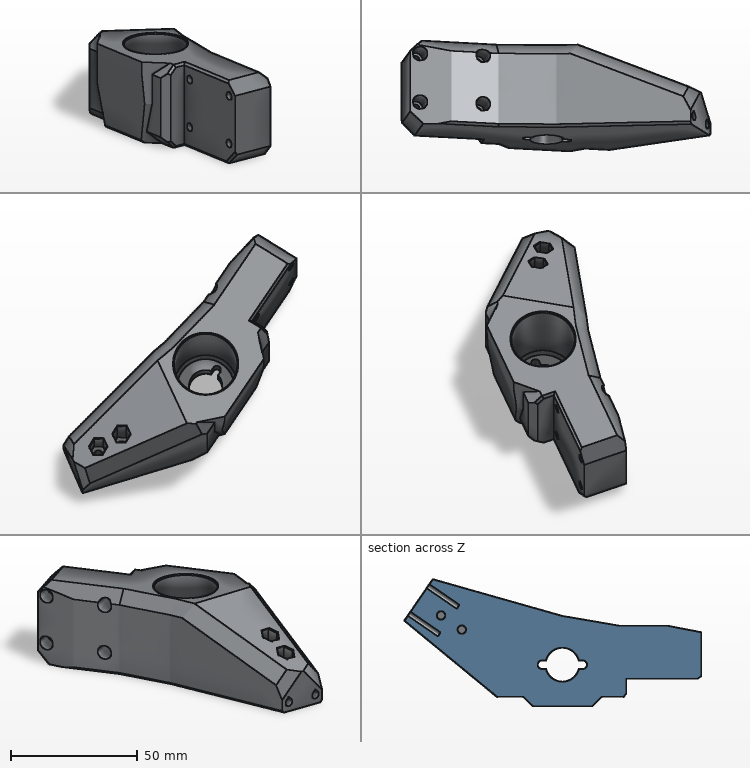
import cadquery as cq
import math

height = 35.0
bevel = 5.0
edge_break = 1.0
cutter_size = 361.1

arm_tip = (-62.7, 17.5)
arm_heel = (-51.4, 34.0)
arm_foot = (-22.7, -15.4)
back_bend = (0.0, 19.4)
plate_bend = (22.5, 15.5)
body_front = arm_foot[1]
step_x = 25.4
corner_cut = 2.9
plate_front = -5.7
plate_back = plate_bend[1]
plate_end = 57.7
taper_start = 41.6
taper_depth = 3.1

ridge_front = (-24.8, -7.2)
ridge_back = (-9.1, 16.9)
slope_angle = math.radians(23.5)
facet_setback = 3.1

boss_front = -18.3
boss_half_width = 14.2
boss_side_drop = 4.8
boss_front_lean = 1.9

bore_diameter = 25.0
bore_chamfer = 0.5
seat_diameter = 22.5
seat_height = 5.0
window_diameter = 13.4
key_slot_length = 19.5
screw_diameter = 3.2

counterbore_diameter = 5.7
plate_screw_x = (28.8, 53.8)
plate_screw_z = (8.9, 28.9)
counterbore_floor = 3.6

end_hole_spacing = 13.2
end_hole_height = 3.9
end_hole_depth = 14.5
nut_distances = (10.8, 20.8)
nut_corner_diameter = 7.1
nut_mouth_diameter = 8.0
nut_mouth_depth = 0.42
nut_floor = 10.0
nut_screw_floor = 1.2

UP = cq.Vector(0, 0, 1)
DOWN = cq.Vector(0, 0, -1)
FRONT = cq.Vector(0, -1, 0)
BACK = cq.Vector(0, 1, 0)
RIGHT = cq.Vector(1, 0, 0)


def prism(points):
    return cq.Workplane("XY").polyline(points).close().extrude(height)


def on_line(start, end, x):
    """Y of the line from start to end at the given x."""
    return start[1] + (end[1] - start[1]) * (x - start[0]) / (end[0] - start[0])


def outward(start, end):
    """Horizontal normal to the left of the line from start to end."""
    return cq.Vector(start[1] - end[1], end[0] - start[0], 0).normalized()


def trim(body, point, normal):
    """Remove everything on the normal's side of a plane."""
    cutter = cq.Workplane(cq.Plane(origin=point, normal=normal)).rect(cutter_size, cutter_size)
    return body.cut(cutter.extrude(cutter_size))


def bevel_plane(edge_point, normal_a, normal_b, setback):
    """Plane of a symmetric bevel on the edge where two faces meet."""
    along_a = (normal_a * normal_a.dot(normal_b) - normal_b).normalized()
    return edge_point + along_a * setback, (normal_a + normal_b).normalized()


def plane_height(plane, x, y):
    point, normal = plane
    return point.z - (normal.x * (x - point.x) + normal.y * (y - point.y)) / normal.z


def bevel_edge(body, x, y, z, normal_a, normal_b, setback):
    return trim(body, *bevel_plane(cq.Vector(x, y, z), normal_a, normal_b, setback))


end_normal = outward(arm_tip, arm_heel)
arm_front_normal = outward(arm_foot, arm_tip)
arm_back_normal = outward(arm_heel, back_bend)
middle_back_normal = outward(back_bend, plate_bend)

fall = outward(ridge_front, ridge_back)
slope_normal = fall * math.sin(slope_angle) + UP * math.cos(slope_angle)
slope = (cq.Vector(*ridge_front, height), slope_normal)


def make_arm():
    right_x = plate_bend[0]
    arm = prism([
        arm_tip,
        arm_heel,
        (right_x, on_line(arm_heel, back_bend, right_x)),
        (right_x, body_front),
        arm_foot,
    ])
    arm = bevel_edge(arm, *back_bend, height, UP, arm_back_normal, bevel)
    arm = bevel_edge(arm, *arm_foot, height, UP, FRONT, bevel)
    arm = bevel_edge(arm, *arm_foot, 0, DOWN, FRONT, bevel)
    side_walls = ((arm_tip, arm_front_normal), (arm_heel, arm_back_normal))
    for corner, wall_normal in side_walls:
        arm = bevel_edge(arm, *corner, 0, DOWN, wall_normal, edge_break)

    arm = trim(arm, *slope)
    for corner, wall_normal in side_walls:
        slope_edge = cq.Vector(*corner, plane_height(slope, *corner))
        side_bevel = bevel_plane(slope_edge, slope_normal, wall_normal, bevel)
        arm = trim(arm, *side_bevel)
        facet_z = plane_height(side_bevel, *corner)
        arm = bevel_edge(arm, *corner, facet_z, side_bevel[1], end_normal, facet_setback)
    return arm


def make_middle():
    left_x = -bevel / 2
    middle = prism([
        (left_x, on_line(back_bend, plate_bend, left_x)),
        (step_x, on_line(back_bend, plate_bend, step_x)),
        (step_x, body_front + corner_cut),
        (step_x - corner_cut, body_front),
        (left_x, body_front),
    ])
    middle = bevel_edge(middle, *back_bend, height, UP, middle_back_normal, bevel)
    middle = bevel_edge(middle, *back_bend, 0, DOWN, middle_back_normal, edge_break)
    for face_z, face_normal in ((height, UP), (0, DOWN)):
        middle = bevel_edge(middle, step_x, body_front, face_z, face_normal, FRONT, bevel)
        middle = bevel_edge(middle, step_x, 0, face_z, face_normal, RIGHT, edge_break)
        bevel_normal = (face_normal + FRONT).normalized()
        inner_y = body_front + bevel
        middle = bevel_edge(middle, step_x, inner_y, face_z, bevel_normal, RIGHT, edge_break)
    return middle


def make_plate():
    left_x = plate_bend[0]
    plate = prism([
        (left_x, plate_front),
        (plate_end, plate_front),
        (plate_end, plate_back - taper_depth),
        (taper_start, plate_back),
        (left_x, plate_back),
    ])
    plate = bevel_edge(plate, left_x, plate_back, height, UP, BACK, bevel)
    plate = bevel_edge(plate, left_x, plate_back, 0, DOWN, BACK, edge_break)
    for face_z, face_normal in ((height, UP), (0, DOWN)):
        plate = bevel_edge(plate, plate_end, 0, face_z, face_normal, RIGHT, bevel)
        plate = bevel_edge(plate, left_x, plate_front, face_z, face_normal, FRONT, edge_break)
    lower_bevel_normal = (DOWN + RIGHT).normalized()
    plate = bevel_edge(plate, plate_end - bevel, plate_front, 0, lower_bevel_normal, FRONT, edge_break)
    return plate


def make_boss():
    side_reach = boss_half_width - boss_front
    boss = prism([
        (-side_reach, 0),
        (-boss_half_width, boss_front),
        (boss_half_width, boss_front),
        (side_reach, 0),
    ])
    side_tilt = boss_side_drop / (height / 2)
    for side in (-1, 1):
        boss = trim(boss, (side * side_reach, 0, height / 2), (side, -1, -side_tilt))
    lean_top = height - bevel
    front_tilt = boss_front_lean / lean_top
    boss = trim(boss, (0, boss_front, lean_top), (0, -1, -front_tilt))
    boss = bevel_edge(boss, 0, boss_front + boss_front_lean, 0, DOWN, FRONT, edge_break)
    return trim(boss, (0, body_front + bevel, 0), BACK)


def cylinder(diameter, bottom, top):
    return cq.Workplane("XY").workplane(offset=bottom).circle(diameter / 2).extrude(top - bottom)


def make_bore():
    """Bore with a chamfered mouth, a conical step to its floor and a keyed window."""
    mouth = bore_diameter / 2
    seat = seat_diameter / 2
    profile = [
        (0, seat_height),
        (seat, seat_height),
        (mouth, seat_height + mouth - seat),
        (mouth, height - bore_chamfer),
        (mouth + bore_chamfer, height),
        (0, height),
    ]
    bore = cq.Workplane("XZ").polyline(profile).close().revolve(360, (0, 0, 0), (0, 1, 0))
    slot = cq.Workplane("XY").slot2D(key_slot_length, screw_diameter).extrude(height / 2)
    return bore.union(cylinder(window_diameter, 0, height / 2)).union(slot)


def make_plate_screws():
    points = [(x, z) for x in plate_screw_x for z in plate_screw_z]
    front = cq.Workplane("XZ", origin=(0, plate_front, 0)).pushPoints(points)
    holes = front.circle(screw_diameter / 2).extrude(plate_front - plate_back)
    inner = cq.Workplane("XZ", origin=(0, counterbore_floor, 0)).pushPoints(points)
    return holes.union(inner.circle(counterbore_diameter / 2).extrude(counterbore_floor - plate_back))


def make_arm_fixings():
    middle = (cq.Vector(*arm_tip) + cq.Vector(*arm_heel)) * 0.5
    along_end = UP.cross(end_normal)
    end_plane = cq.Plane(origin=middle + UP * end_hole_height, xDir=along_end, normal=end_normal)
    radius = screw_diameter / 2
    touch = radius * math.sqrt(0.5)
    cutters = cq.Workplane()
    for side in (-1, 1):
        face = cq.Workplane(end_plane).center(side * end_hole_spacing / 2, 0)
        teardrop = (
            face.moveTo(-touch, touch)
            .threePointArc((0, -radius), (touch, touch))
            .lineTo(0, 2 * touch)
            .close()
        )
        cutters = cutters.add(teardrop.extrude(-end_hole_depth))
    cutters = cutters.combine()
    mouth_x_direction = BACK.cross(slope_normal)
    for distance in nut_distances:
        centre = middle - end_normal * distance
        place = (centre.x, centre.y, 0)
        pocket = cq.Workplane("XY").polygon(6, nut_corner_diameter).extrude(height - nut_floor)
        cutters = cutters.union(pocket.translate((centre.x, centre.y, nut_floor)))
        mouth_centre = (centre.x, centre.y, plane_height(slope, centre.x, centre.y))
        mouth_plane = cq.Plane(origin=mouth_centre, xDir=mouth_x_direction, normal=slope_normal)
        mouth = cq.Workplane(mouth_plane).polygon(6, nut_mouth_diameter)
        cutters = cutters.union(mouth.extrude(-nut_mouth_depth, taper=45))
        cutters = cutters.union(cylinder(screw_diameter, nut_screw_floor, height).translate(place))
    return cutters


body = make_arm().union(make_middle()).union(make_plate()).union(make_boss())
result = body.cut(make_bore()).cut(make_plate_screws()).cut(make_arm_fixings())